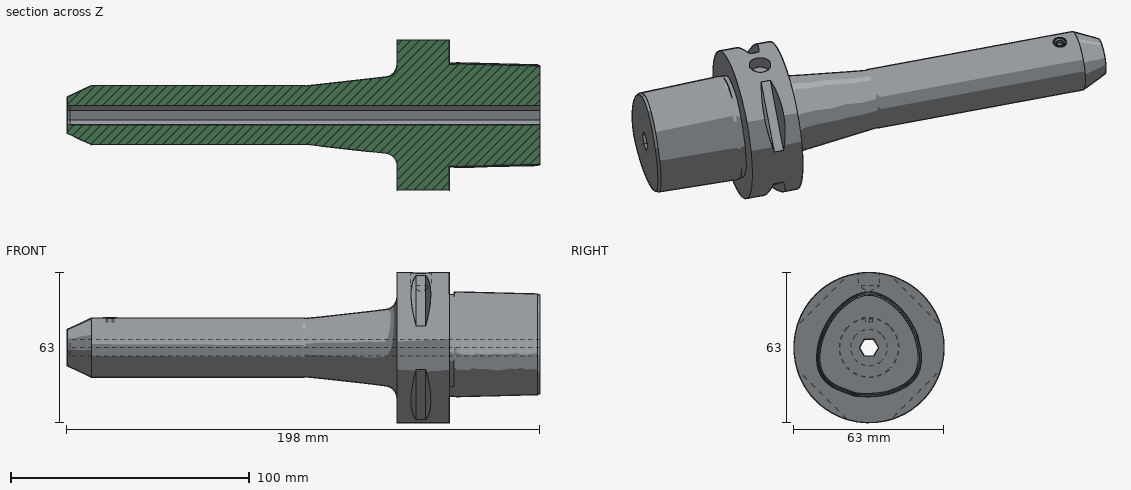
import cadquery as cq
import math

total_length = 198.0

tip_diameter = 15.2
tip_cone_length = 10.3
neck_diameter = 25.0
neck_end = 98.8
step_diameter = 24.5
step_length = 1.2
cone_end = 133.5
cone_end_diameter = 32.0

flange_diameter = 63.0
flange_start = 138.0
flange_width = 22.0
flange_end = flange_start + flange_width
flange_middle = 148.1

shank_mean_radius = 22.0
lobe_count = 3
lobe_height = 1.4
lobe_steps = 8
shank_taper = 1 / 40
shank_chamfer_length = 1.2
shank_chamfer_height = 0.5
relief_length = 2.0
relief_end = flange_end + relief_length
relief_chamfer_length = 1.2
relief_chamfer_end = relief_end + relief_chamfer_length
relief_radius = 22.4
undercut_depth = 0.2

bore_corner_diameter = 8.0
mouth_corner_diameter = 8.1
mouth_depth = 1.2
slot_floor_radius = 27.7
slot_floor_width = 4.0
slot_flank_angle = 30.0
slot_angles = (45, 135, 225, 315)
chip_hole_diameter = 9.0
chip_hole_depth = 5.5
drill_point_angle = 118.0
screw_position = 18.0
screw_diameter = 5.5
screw_overhang = 0.2
screw_top = neck_diameter / 2 + screw_overhang
screw_length = 3.0
countersink_diameter = 4.4
countersink_depth = 0.5
countersink_angle = 45.0
socket_size = 3.4
socket_depth = 2.0



def make_neck():
    """Tip cone, straight neck, small step, widening cone and the root fillet at the flange."""
    cone_angle = math.atan2((cone_end_diameter - step_diameter) / 2, cone_end - neck_end - step_length)
    root_radius = (flange_start - cone_end) / (1 - math.sin(cone_angle))
    start = (cone_end, cone_end_diameter / 2)
    center = (flange_start - root_radius, start[1] + root_radius * math.cos(cone_angle))
    middle_angle = (math.pi / 2 + cone_angle) / 2
    middle = (
        center[0] + root_radius * math.cos(middle_angle),
        center[1] - root_radius * math.sin(middle_angle),
    )
    end = (flange_start, center[1])
    return (
        cq.Workplane("XY")
        .moveTo(0, 0)
        .lineTo(0, tip_diameter / 2)
        .lineTo(tip_cone_length, neck_diameter / 2)
        .lineTo(neck_end, neck_diameter / 2)
        .lineTo(neck_end + step_length, step_diameter / 2)
        .lineTo(*start)
        .threePointArc(middle, end)
        .lineTo(flange_start, 0)
        .close()
        .revolve(360, (0, 0, 0), (1, 0, 0))
    )


def x_cylinder(start, length, diameter):
    return cq.Workplane("YZ", origin=(start, 0, 0)).circle(diameter / 2).extrude(length)


def polygon_wire(x, mean_radius):
    """Three-lobed closed curve with one lobe toward +Z, split where the curve is flattest."""
    lobe_span = 2 * math.pi / lobe_count

    def point(angle):
        reach = mean_radius + lobe_height * math.cos(lobe_count * angle)
        slope = -lobe_count * lobe_height * math.sin(lobe_count * angle)
        height = reach * math.cos(angle) - slope * math.sin(angle)
        side = reach * math.sin(angle) + slope * math.cos(angle)
        return cq.Vector(x, -side, height)

    def direction(angle):
        return cq.Vector(0, -math.cos(angle), -math.sin(angle))

    edges = []
    for lobe in range(lobe_count):
        first = (lobe - 0.5) * lobe_span
        angles = [first + lobe_span * i / lobe_steps for i in range(lobe_steps + 1)]
        points = [point(angle) for angle in angles]
        edges.append(cq.Edge.makeSpline(points, tangents=[direction(angles[0]), direction(angles[-1])]))
    return cq.Wire.assembleEdges(edges)


def make_shank():
    """Tapered three-lobed shank with an undercut at the flange and a chamfered end."""
    chamfer_start = total_length - shank_chamfer_length
    end_radius = shank_mean_radius - shank_taper * (chamfer_start - relief_chamfer_end)
    undercut_radius = shank_mean_radius - undercut_depth
    sections = [
        polygon_wire(flange_end, undercut_radius),
        polygon_wire(relief_end, undercut_radius),
        polygon_wire(relief_chamfer_end, shank_mean_radius),
        polygon_wire(chamfer_start, end_radius),
        polygon_wire(total_length, end_radius - shank_chamfer_height),
    ]
    shank = cq.Workplane(cq.Solid.makeLoft(sections, True))

    outer_diameter = 2 * (shank_mean_radius + 2 * lobe_height)
    relief = x_cylinder(flange_end, relief_length, outer_diameter).cut(
        x_cylinder(flange_end, relief_length, 2 * relief_radius)
    )
    return shank.cut(relief)


def make_slot(angle):
    """Straight trapezoidal gripper slot across the flange rim, facing the given angle about X."""
    rim = flange_diameter / 2
    floor_half = slot_floor_width / 2
    top_half = floor_half + (rim - slot_floor_radius) * math.tan(math.radians(slot_flank_angle))
    return (
        cq.Workplane("XZ")
        .moveTo(flange_middle - floor_half, slot_floor_radius)
        .lineTo(flange_middle + floor_half, slot_floor_radius)
        .lineTo(flange_middle + top_half, rim)
        .lineTo(flange_middle - top_half, rim)
        .close()
        .extrude(rim, both=True)
        .rotate((0, 0, 0), (1, 0, 0), angle)
    )


def make_chip_hole():
    """Radial hole in the top of the flange with a drill-point bottom."""
    radius = chip_hole_diameter / 2
    rim = flange_diameter / 2
    point_depth = radius / math.tan(math.radians(drill_point_angle / 2))
    floor = rim - chip_hole_depth
    return (
        cq.Workplane("XZ", origin=(flange_middle, 0, 0))
        .moveTo(0, rim)
        .lineTo(radius, rim)
        .lineTo(radius, floor)
        .lineTo(0, floor - point_depth)
        .close()
        .revolve(360, (0, 0, 0), (0, 1, 0))
    )


def make_screw():
    """Clamping screw head standing slightly proud of the neck."""
    plane = cq.Workplane("XY", origin=(screw_position, 0, screw_top))
    return plane.circle(screw_diameter / 2).extrude(-screw_length)


def make_screw_socket():
    """Countersunk hexagon socket in the clamping screw."""
    plane = cq.Workplane("XY", origin=(screw_position, 0, screw_top))
    socket = plane.polygon(6, socket_size).extrude(-socket_depth)
    countersink = plane.circle(countersink_diameter / 2).extrude(-countersink_depth, taper=countersink_angle)
    return socket.union(countersink)


def make_bore():
    """Hexagonal through bore with two corners on the Y axis and a slightly wider mouth at the tip."""
    bore = cq.Workplane("YZ").polygon(6, bore_corner_diameter).extrude(total_length)
    mouth = cq.Workplane("YZ").polygon(6, mouth_corner_diameter).extrude(mouth_depth)
    return bore.union(mouth)


flange = x_cylinder(flange_start, flange_width, flange_diameter)
result = make_neck().union(flange).union(make_shank()).union(make_screw())
for slot_angle in slot_angles:
    result = result.cut(make_slot(slot_angle))
result = result.cut(make_chip_hole()).cut(make_screw_socket())
result = result.cut(make_bore())